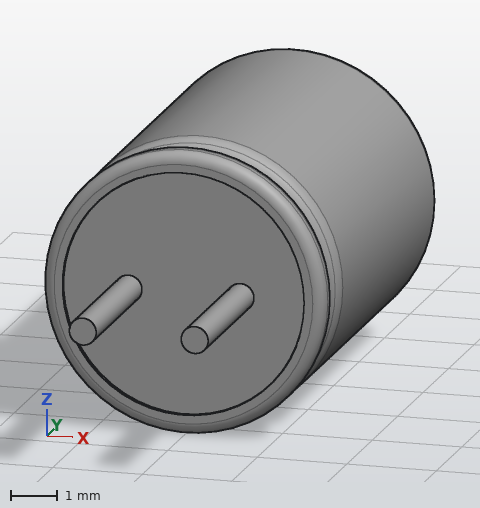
import cadquery as cq

can_diameter = 6.3
can_length = 9.0
rim_fillet = 0.26
closed_end_fillet = 0.38

groove_center = 0.91
groove_half_width = 0.52
valley_half_width = 0.25
groove_depth = 0.18

seal_diameter = 5.4
seal_recess = 0.1

overall_length = 12.5
lead_diameter = 0.6
lead_pitch = 2.5
lead_length = overall_length - can_length

can_radius = can_diameter / 2


def make_can():
    shoulder_width = groove_half_width - valley_half_width
    inflection_radius = can_radius - groove_depth * shoulder_width / groove_half_width

    profile = (
        cq.Workplane("XY")
        .lineTo(can_radius - rim_fillet, 0)
        .radiusArc((can_radius, rim_fillet), -rim_fillet)
        .lineTo(can_radius, groove_center - groove_half_width)
        .tangentArcPoint((inflection_radius, groove_center - valley_half_width), relative=False)
        .tangentArcPoint((inflection_radius, groove_center + valley_half_width), relative=False)
        .tangentArcPoint((can_radius, groove_center + groove_half_width), relative=False)
        .lineTo(can_radius, can_length - closed_end_fillet)
        .radiusArc((can_radius - closed_end_fillet, can_length), -closed_end_fillet)
        .lineTo(0, can_length)
        .close()
    )
    return profile.revolve(360, (0, 0), (0, 1))


def make_seal_recess():
    return (
        cq.Workplane("XZ", origin=(0, seal_recess, 0))
        .circle(seal_diameter / 2)
        .extrude(seal_recess)
    )


def make_leads():
    return (
        cq.Workplane("XZ", origin=(0, seal_recess, 0))
        .pushPoints([(-lead_pitch / 2, 0), (lead_pitch / 2, 0)])
        .circle(lead_diameter / 2)
        .extrude(seal_recess + lead_length)
    )


result = make_can().cut(make_seal_recess()).union(make_leads())